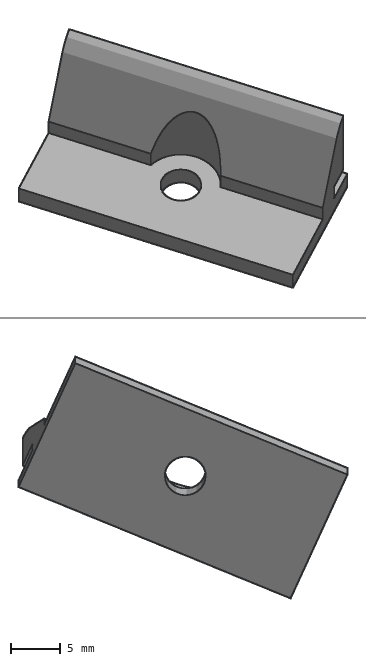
import cadquery as cq

length = 30.0
base_depth = 14.45
base_height = 2.07

total_height = 12.35
rib_front = 7.92
neck_back = 10.95
rib_back = 13.4
step_height = 3.87
nose_start_y = 11.58
nose_start_z = 10.7
nose_bulge = 0.18

hole_diameter = 4.1
head_diameter = 8.05
hole_y = 6.65


def make_profile_body():
    """Constant cross-section: base, undercut neck and sloped rib with a rounded nose."""
    return (
        cq.Workplane("YZ")
        .moveTo(0, 0)
        .lineTo(base_depth, 0)
        .lineTo(base_depth, base_height)
        .lineTo(neck_back, base_height)
        .lineTo(neck_back, step_height)
        .lineTo(rib_back, step_height)
        .lineTo(rib_back, total_height)
        .sagittaArc((nose_start_y, nose_start_z), -nose_bulge)
        .lineTo(rib_front, step_height)
        .lineTo(rib_front, base_height)
        .lineTo(0, base_height)
        .close()
        .extrude(length / 2, both=True)
    )


def vertical_cylinder(diameter, bottom):
    """Cutter on the screw axis, from the given height up to the top of the part."""
    return (
        cq.Workplane("XY", origin=(0, hole_y, bottom))
        .circle(diameter / 2)
        .extrude(total_height - bottom)
    )


result = (
    make_profile_body()
    .cut(vertical_cylinder(head_diameter, base_height))
    .cut(vertical_cylinder(hole_diameter, 0))
)